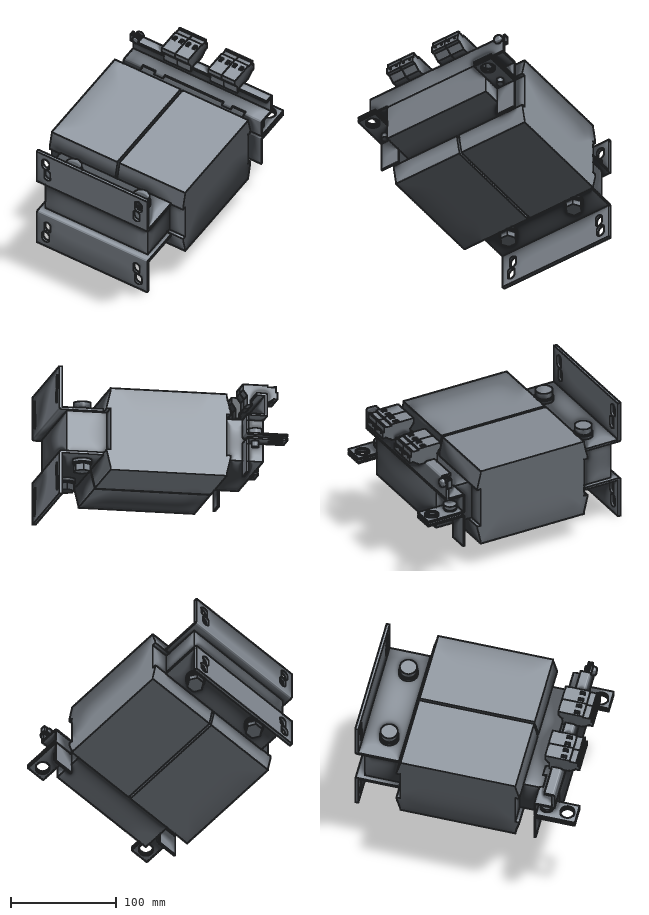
import cadquery as cq


coil_outer_x = 74.5
coil_gap = 2.5
coil_half_y = 56.1
coil_half_z = 39.8
flap_reach = 3.7
flap_lip = 1.7
coil_rim = 2.5

core_half_x = 57.2
core_half_y = 94.8
core_half_z = 20.0

foot_half_x = 61.8
foot_front_y = -103.0
foot_rear_y = -60.5
foot_plate = 3.0
foot_base = 2.5
foot_top_z = 62.0
foot_bend_radius = 2.5
slot_length = 13.3
outer_slot_x, outer_slot_z, outer_slot_width = 51.8, 49.4, 8.0
inner_slot_x, inner_slot_z, inner_slot_width = 49.8, 35.7, 7.2

bolt_x = 37.8
bolt_y = -76.0
bolt_head_diameter = 16.3
bolt_head_top = 33.0
washer_diameter = 18.3
washer_thickness = 3.0
spring_washer_diameter = 16.7
spring_washer_thickness = 1.5
nut_across_corners = 16.3
nut_bottom = -33.7

rail_half_x = 77.0
rail_base = 1.7
rail_web = 2.6
rail_bend_radius = 2.5
rail_top_z = 42.0
rail_flange = 2.5
rail_flange_front_y = 84.5
rail_flange_start_x = -67.0
rail_base_front_y = 78.7
tab_width = 10.2
tab_sink = 2.2
ear_sheet = 1.7
ear_gap = 2.2
ear_leg_y = 74.8
ear_rear_y = 114.5
ear_leg_bottom = -35.5
ear_bend_radius = 2.6
ear_hole_diameter = 13.5
ear_x = 66.8
ear_hole_y = 104.8

ear_screw_y = 85.0
ear_screw_head_diameter = 12.6
ear_screw_head_bottom = 4.1
ear_screw_head_top = 8.7
ear_screw_collar_diameter = 10.9
ear_screw_diameter = 6.5
ear_screw_bottom = -8.3

terminal_block_centres = (-21.0, 30.9)
module_pitch = 15.0
module_width = 14.8
terminal_hole_offset = 3.7
terminal_hole_x, terminal_hole_y = 2.8, 4.5
terminal_hole_centre_y = 95.3
terminal_hole_depth = 3.3
terminal_top_z = 57.9
terminal_front_y = 77.9
terminal_front_bottom_z = 52.5
terminal_step_y, terminal_step_z = 101.8, 56.3
terminal_rib_y, terminal_rib_z = 108.0, 57.2
terminal_chin_y, terminal_chin_z = 107.7, 45.0
terminal_seat_rear_y, terminal_seat_z = 101.4, 40.5
terminal_hook_rear_y, terminal_hook_bottom_z = 86.5, 38.0
terminal_hook_front_y, terminal_hook_top_z = 81.8, 46.8
terminal_rear_y = 111.4
terminal_ledge_y = 109.8
terminal_ledge_z = 51.3
ledge_notch_width = 1.3
ledge_notch_depth = 2.2

clamp_x = -72.2
clamp_z = 37.8
clamp_left_x = -78.5
clamp_right_x = -67.9
clamp_height = 8.7
clamp_washer_right_x = -69.4
clamp_washer_height = 8.3
clamp_plate_front_y = 91.0
clamp_washer_front_y = 89.6
clamp_lip_rear_y = 94.2
clamp_head_diameter = 8.7
clamp_head_rear_y = 98.7
clamp_head_round = 2.2
clamp_tip_diameter = 7.0
clamp_tip_front_y = 87.7
clamp_tip_round = 1.3


def box(x0, x1, y0, y1, z0, z1):
    return cq.Workplane("XY").box(x1 - x0, y1 - y0, z1 - z0, centered=False).translate((x0, y0, z0))


def cylinder_z(x, y, diameter, z0, z1):
    return cq.Workplane("XY", origin=(x, y, z0)).circle(diameter / 2).extrude(z1 - z0)


def cylinder_y(x, z, diameter, y0, y1):
    return cq.Workplane("XZ", origin=(x, y0, z)).circle(diameter / 2).extrude(y0 - y1)


def extrude_yz(points, x0, x1):
    return cq.Workplane("YZ", origin=(x0, 0, 0)).polyline(points).close().extrude(x1 - x0)


def mirrored_pair(body, plane):
    return body.union(body.mirror(plane))


def make_coils():
    flap_y = coil_half_y + flap_reach
    lip_z = core_half_z + flap_lip
    quarter = [
        (coil_half_y, core_half_z),
        (flap_y, core_half_z),
        (flap_y, lip_z),
        (coil_half_y, coil_half_z - coil_rim),
        (coil_half_y, coil_half_z),
    ]
    upper_half = quarter + [(-y, z) for y, z in reversed(quarter)]
    outline = upper_half + [(-y, -z) for y, z in upper_half]
    right_coil = extrude_yz(outline, coil_gap / 2, coil_outer_x)
    return mirrored_pair(right_coil, "YZ")


def make_yokes():
    rear = box(-core_half_x, core_half_x, coil_half_y, core_half_y, -core_half_z, core_half_z)
    return mirrored_pair(rear, "XZ")


def make_foot():
    base_top = core_half_z + foot_base
    base = box(-foot_half_x, foot_half_x, foot_front_y, foot_rear_y, core_half_z, base_top)
    plate = box(-foot_half_x, foot_half_x, foot_front_y, foot_front_y + foot_plate,
                core_half_z, foot_top_z)
    foot = base.union(plate)
    foot = foot.edges(cq.selectors.NearestToPointSelector((0, foot_front_y, core_half_z)))
    foot = foot.fillet(foot_bend_radius)
    for x, z, width in (
        (outer_slot_x, outer_slot_z, outer_slot_width),
        (inner_slot_x, inner_slot_z, inner_slot_width),
    ):
        slots = (
            cq.Workplane("XZ", origin=(0, foot_front_y + foot_plate, 0))
            .pushPoints([(-x, z), (x, z)])
            .slot2D(slot_length, width, 90)
            .extrude(foot_plate)
        )
        foot = foot.cut(slots)
    return foot


def make_clamping_bolt(x):
    base_top = core_half_z + foot_base
    washer_top = base_top + washer_thickness
    spring_top = washer_top + spring_washer_thickness
    washer = cylinder_z(x, bolt_y, washer_diameter, base_top, washer_top)
    spring_washer = cylinder_z(x, bolt_y, spring_washer_diameter, washer_top, spring_top)
    washers = mirrored_pair(washer.union(spring_washer), "XY")
    head = cylinder_z(x, bolt_y, bolt_head_diameter, spring_top, bolt_head_top)
    nut = (
        cq.Workplane("XY", origin=(x, bolt_y, nut_bottom))
        .polygon(6, nut_across_corners)
        .extrude(-spring_top - nut_bottom)
    )
    return washers.union(head).union(nut)


def make_tab(x):
    """Rounded tab at the front edge of the rail base, let into the rear yoke."""
    tab = box(x - tab_width / 2, x + tab_width / 2, ear_leg_y, rail_base_front_y,
              core_half_z - tab_sink, core_half_z + rail_base)
    bend = cq.selectors.NearestToPointSelector((x, ear_leg_y, core_half_z + rail_base))
    return tab.edges(bend).fillet(ear_bend_radius)


def make_rail():
    base_top = core_half_z + rail_base
    web_front_y = core_half_y - rail_web
    base = box(-rail_half_x, rail_half_x, rail_base_front_y, core_half_y, core_half_z, base_top)
    web = box(-rail_half_x, rail_half_x, web_front_y, core_half_y, core_half_z, rail_top_z)
    flange = box(rail_flange_start_x, rail_half_x, rail_flange_front_y, core_half_y,
                 rail_top_z - rail_flange, rail_top_z)
    rail = base.union(web).union(flange)
    rail = rail.edges("|X and >Y").fillet(rail_bend_radius)
    rail = rail.cut(box(-rail_half_x, rail_flange_start_x, web_front_y, core_half_y,
                        rail_top_z - rail_web, rail_top_z))
    for x in (-bolt_x, bolt_x):
        rail = rail.union(make_tab(x))
    return rail


def fillet_leg_bends(sheet, heights):
    for z in heights:
        bend = cq.selectors.NearestToPointSelector(((core_half_x + rail_half_x) / 2, ear_leg_y, z))
        sheet = sheet.edges(bend).fillet(ear_bend_radius)
    return sheet


def make_upper_ear():
    """Ear joined by a leg at its front edge to the end of the rail base."""
    z_under = ear_gap / 2
    z_over = z_under + ear_sheet
    leg_rear_y = ear_leg_y + ear_sheet
    base_top = core_half_z + rail_base
    outline = [
        (ear_rear_y, z_under),
        (ear_leg_y, z_under),
        (ear_leg_y, base_top),
        (core_half_y, base_top),
        (core_half_y, core_half_z),
        (leg_rear_y, core_half_z),
        (leg_rear_y, z_over),
        (ear_rear_y, z_over),
    ]
    return fillet_leg_bends(extrude_yz(outline, core_half_x, rail_half_x), (z_under, base_top))


def make_lower_ear():
    """Ear with a free leg hanging from its front edge."""
    z_over = -ear_gap / 2
    z_under = z_over - ear_sheet
    leg_rear_y = ear_leg_y + ear_sheet
    outline = [
        (ear_rear_y, z_over),
        (ear_leg_y, z_over),
        (ear_leg_y, ear_leg_bottom),
        (leg_rear_y, ear_leg_bottom),
        (leg_rear_y, z_under),
        (ear_rear_y, z_under),
    ]
    return fillet_leg_bends(extrude_yz(outline, core_half_x, rail_half_x), (z_over,))


def make_right_ears():
    ears = make_upper_ear().union(make_lower_ear())
    hole_reach = ear_gap / 2 + ear_sheet
    ears = ears.cut(cylinder_z(ear_x, ear_hole_y, ear_hole_diameter, -hole_reach, hole_reach))
    head = cylinder_z(ear_x, ear_screw_y, ear_screw_head_diameter,
                      ear_screw_head_bottom, ear_screw_head_top)
    collar = cylinder_z(ear_x, ear_screw_y, ear_screw_collar_diameter,
                        hole_reach, ear_screw_head_bottom)
    shank = cylinder_z(ear_x, ear_screw_y, ear_screw_diameter, ear_screw_bottom, hole_reach)
    return ears.union(head).union(collar).union(shank)


def make_terminal_module(x):
    outline = [
        (terminal_front_y, terminal_top_z),
        (terminal_step_y, terminal_top_z),
        (terminal_step_y, terminal_step_z),
        (terminal_rib_y, terminal_step_z),
        (terminal_rib_y, terminal_rib_z),
        (terminal_ledge_y, terminal_rib_z),
        (terminal_ledge_y, terminal_ledge_z),
        (terminal_rear_y, terminal_ledge_z),
        (terminal_rear_y, terminal_chin_z),
        (terminal_chin_y, terminal_chin_z),
        (terminal_seat_rear_y, terminal_seat_z),
        (terminal_hook_rear_y, terminal_seat_z),
        (terminal_hook_rear_y, terminal_hook_bottom_z),
        (terminal_hook_front_y, terminal_hook_bottom_z),
        (terminal_hook_front_y, terminal_hook_top_z),
        (terminal_front_y, terminal_front_bottom_z),
    ]
    module = extrude_yz(outline, x - module_width / 2, x + module_width / 2)
    for hole_x in (x - terminal_hole_offset, x + terminal_hole_offset):
        hole = box(hole_x - terminal_hole_x / 2, hole_x + terminal_hole_x / 2,
                   terminal_hole_centre_y - terminal_hole_y / 2,
                   terminal_hole_centre_y + terminal_hole_y / 2,
                   terminal_top_z - terminal_hole_depth, terminal_top_z)
        notch = box(hole_x - ledge_notch_width / 2, hole_x + ledge_notch_width / 2,
                    terminal_ledge_y, terminal_rear_y,
                    terminal_ledge_z - ledge_notch_depth, terminal_ledge_z)
        module = module.cut(hole).cut(notch)
    return module


def make_earth_clamp():
    z0 = clamp_z - clamp_height / 2
    z1 = clamp_z + clamp_height / 2
    web_front_y = core_half_y - rail_web
    plate = box(clamp_left_x, clamp_right_x, clamp_plate_front_y, web_front_y, z0, z1)
    lip = box(clamp_left_x, -rail_half_x, clamp_plate_front_y, clamp_lip_rear_y, z0, z1)
    washer = box(clamp_left_x, clamp_washer_right_x, clamp_washer_front_y, clamp_plate_front_y,
                 clamp_z - clamp_washer_height / 2, clamp_z + clamp_washer_height / 2)
    head = cylinder_y(clamp_x, clamp_z, clamp_head_diameter, core_half_y, clamp_head_rear_y)
    head = head.faces(">Y").edges().fillet(clamp_head_round)
    tip = cylinder_y(clamp_x, clamp_z, clamp_tip_diameter, clamp_tip_front_y, clamp_washer_front_y)
    tip = tip.faces("<Y").edges().fillet(clamp_tip_round)
    return plate.union(lip).union(washer).union(head).union(tip)


result = make_coils().union(make_yokes()).union(mirrored_pair(make_foot(), "XY"))
result = result.union(mirrored_pair(make_clamping_bolt(bolt_x), "YZ"))
result = result.union(make_rail()).union(mirrored_pair(make_right_ears(), "YZ"))
for block_x in terminal_block_centres:
    for module_x in (block_x - module_pitch / 2, block_x + module_pitch / 2):
        result = result.union(make_terminal_module(module_x))
result = result.union(make_earth_clamp())